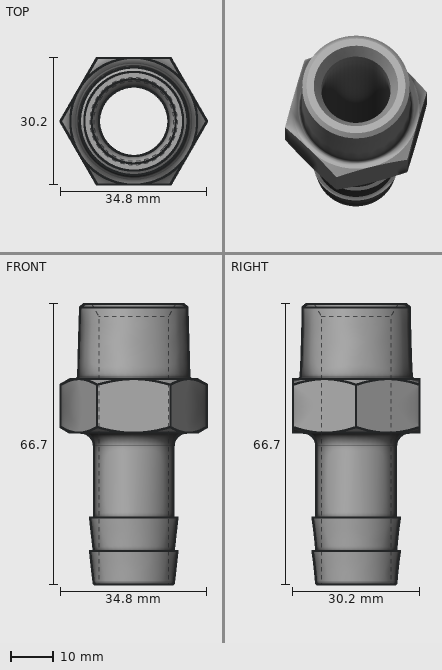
import cadquery as cq
import math

total_length = 66.7
hex_bottom = 36.1
hex_top = 48.8

across_flats = 30.15
hex_chamfer_angle = 30.0

bore_diameter = 16.5
stem_diameter = 19.0
barb_diameter = 20.8
barb_length = 8.0
barb_count = 2
stem_fillet = 3.0
tip_fillet = 0.7

spigot_base_diameter = 26.5
spigot_end_diameter = 25.55
spigot_face_diameter = 23.5
spigot_chamfer_height = 0.9
spigot_fillet = 0.55
countersink_diameter = 20.0
countersink_angle = 30.0


def cone(bottom_diameter, top_diameter, bottom, top):
    """Solid frustum about Z between two heights."""
    return (
        cq.Workplane("XZ")
        .moveTo(0, bottom)
        .lineTo(bottom_diameter / 2, bottom)
        .lineTo(top_diameter / 2, top)
        .lineTo(0, top)
        .close()
        .revolve(360, (0, 0, 0), (0, 1, 0))
    )


def flare(diameter, radius, face, direction):
    """Concave fillet ring from a face to a round shank; direction is +1 up or -1 down."""
    shank = diameter / 2
    offset = radius * (1 - math.sqrt(0.5))
    return (
        cq.Workplane("XZ")
        .moveTo(0, face)
        .lineTo(shank + radius, face)
        .threePointArc((shank + offset, face + direction * offset), (shank, face + direction * radius))
        .lineTo(0, face + direction * radius)
        .close()
        .revolve(360, (0, 0, 0), (0, 1, 0))
    )


def hexagon():
    """Hexagonal prism with its corners turned to a cone at both ends."""
    across_corners = across_flats / math.cos(math.radians(30))
    corner_drop = (across_corners - across_flats) / 2 * math.tan(math.radians(hex_chamfer_angle))
    prism = (
        cq.Workplane("XY")
        .workplane(offset=hex_bottom)
        .polygon(6, across_corners)
        .extrude(hex_top - hex_bottom)
    )
    envelope = (
        cone(across_flats, across_corners, hex_bottom, hex_bottom + corner_drop)
        .union(cone(across_corners, across_corners, hex_bottom + corner_drop, hex_top - corner_drop))
        .union(cone(across_corners, across_flats, hex_top - corner_drop, hex_top))
    )
    return prism.intersect(envelope)


def hose_stem():
    """Plain stem with barbs that widen upward, rounded at the tip."""
    barbs_top = barb_count * barb_length
    stem = cone(stem_diameter, barb_diameter, 0, barb_length).faces("<Z").edges().fillet(tip_fillet)
    for index in range(1, barb_count):
        bottom = index * barb_length
        stem = stem.union(cone(stem_diameter, barb_diameter, bottom, bottom + barb_length))
    stem = stem.union(cone(stem_diameter, stem_diameter, barbs_top, hex_bottom))
    return stem.union(flare(stem_diameter, stem_fillet, hex_bottom, -1))


def spigot():
    """Slightly tapered spigot with a chamfered end and a small root fillet."""
    taper_bottom = hex_top + spigot_fillet
    taper_top = total_length - spigot_chamfer_height
    return (
        flare(spigot_base_diameter, spigot_fillet, hex_top, 1)
        .union(cone(spigot_base_diameter, spigot_end_diameter, taper_bottom, taper_top))
        .union(cone(spigot_end_diameter, spigot_face_diameter, taper_top, total_length))
    )


def bore():
    """Through bore with a conical countersink at the upper end."""
    depth = (countersink_diameter - bore_diameter) / 2 / math.tan(math.radians(countersink_angle))
    countersink = cone(bore_diameter, countersink_diameter, total_length - depth, total_length)
    return cone(bore_diameter, bore_diameter, 0, total_length).union(countersink)


result = hexagon().union(hose_stem()).union(spigot()).cut(bore())